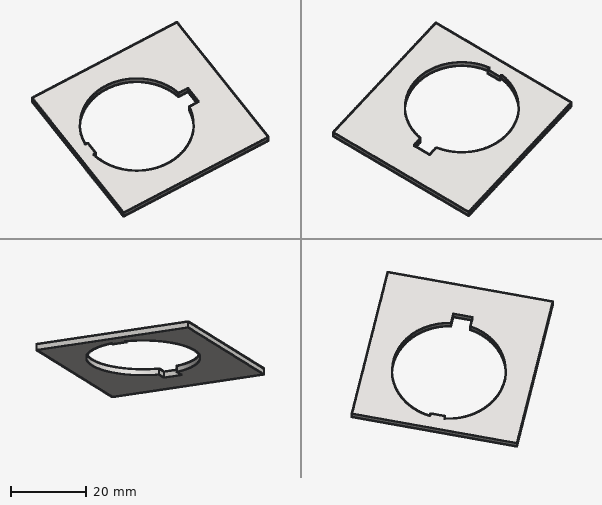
import cadquery as cq

plate_width = 44.8
plate_height = 45.75
plate_thickness = 1.7

hole_diameter = 30.2
hole_center_y = -4.25

keyway_width = 5.2
keyway_top_y = 13.6

tab_width = 4.03
tab_top_y = -18.45


def upright_block(width, bottom_y, top_y):
    """Full-thickness block centred on X = 0 between two Y positions."""
    return (
        cq.Workplane("XY")
        .center(0, (bottom_y + top_y) / 2)
        .rect(width, top_y - bottom_y)
        .extrude(plate_thickness)
    )


def opening():
    """Solid shape of the through opening: round hole plus keyway, less the tab."""
    round_hole = (
        cq.Workplane("XY")
        .center(0, hole_center_y)
        .circle(hole_diameter / 2)
        .extrude(plate_thickness)
    )
    keyway = upright_block(keyway_width, hole_center_y, keyway_top_y)
    tab = upright_block(tab_width, -plate_height / 2, tab_top_y)
    return round_hole.union(keyway).cut(tab)


plate = upright_block(plate_width, -plate_height / 2, plate_height / 2)
result = plate.cut(opening())